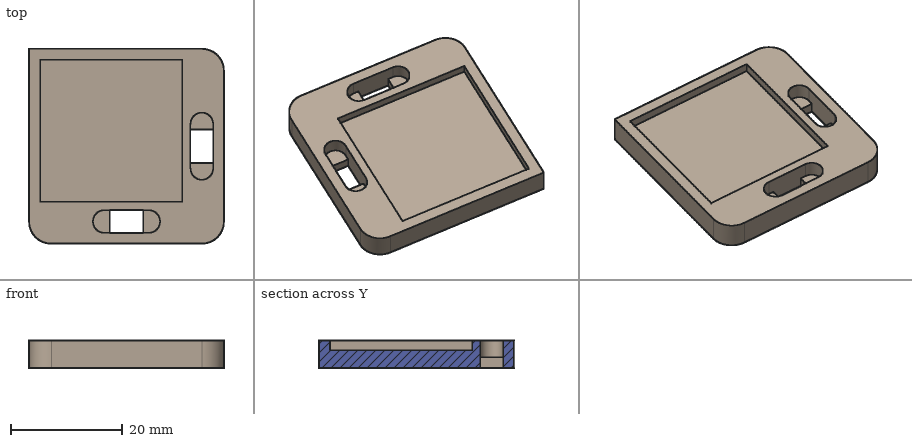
import cadquery as cq

side = 35.0
thickness = 5.0
corner_radius = 4.0

pocket_side = 25.48
pocket_wall = 2.0
pocket_depth = 1.75

slot_length = 12.05
slot_width = 4.05
slot_depth = 3.0
slot_inset = 4.0
window_length = 6.0

half_side = side / 2
slot_offset = half_side - slot_inset
pocket_offset = half_side - pocket_wall - pocket_side / 2


def strap_slot(x, y, angle):
    """Cutter for one slot, centred at (x, y) and turned by angle about Z."""
    recess = (
        cq.Workplane("XY")
        .workplane(offset=thickness - slot_depth)
        .slot2D(slot_length, slot_width)
        .extrude(slot_depth)
    )
    window = cq.Workplane("XY").rect(window_length, slot_width).extrude(thickness)
    cutter = recess.union(window)
    return cutter.rotate((0, 0, 0), (0, 0, 1), angle).translate((x, y, 0))


plate = (
    cq.Workplane("XY")
    .rect(side, side)
    .extrude(thickness)
    .edges("|Z and (>X or <Y)")
    .fillet(corner_radius)
)

pocket = (
    cq.Workplane("XY")
    .workplane(offset=thickness - pocket_depth)
    .center(-pocket_offset, pocket_offset)
    .rect(pocket_side, pocket_side)
    .extrude(pocket_depth)
)

result = (
    plate.cut(pocket)
    .cut(strap_slot(0, -slot_offset, 0))
    .cut(strap_slot(slot_offset, 0, 90))
)